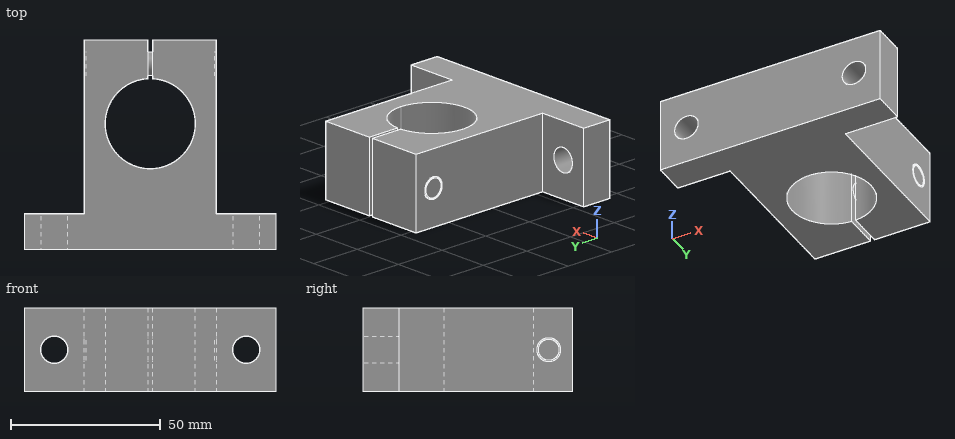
import cadquery as cq

base_length = 84.0
total_height = 70.0
depth = 28.0
base_thickness = 12.0
block_width = 44.0

bore_diameter = 30.0
bore_height = 42.0
slot_width = 1.5

mount_hole_diameter = 9.0
mount_hole_spacing = 64.0

screw_diameter = 8.0
screw_end_bevel = 0.5
screw_top_distance = 8.0
screw_height = total_height - screw_top_distance


def make_body():
    """Flange and clamp block, centred on X and Z, standing on Y = 0."""
    base = cq.Workplane("XY").box(base_length, base_thickness, depth, centered=(True, False, True))
    block = cq.Workplane("XY").box(block_width, total_height, depth, centered=(True, False, True))
    return base.union(block)


def make_bore():
    return (
        cq.Workplane("XY", origin=(0, bore_height, -depth / 2))
        .circle(bore_diameter / 2)
        .extrude(depth)
    )


def make_slot():
    """Gap from the bore to the top of the block."""
    return (
        cq.Workplane("XY")
        .box(slot_width, total_height - bore_height, depth, centered=(True, False, True))
        .translate((0, bore_height, 0))
    )


def make_mount_holes():
    half_spacing = mount_hole_spacing / 2
    return (
        cq.Workplane("XZ")
        .pushPoints([(-half_spacing, 0), (half_spacing, 0)])
        .circle(mount_hole_diameter / 2)
        .extrude(-base_thickness)
    )


def make_screw_hole():
    return (
        cq.Workplane("YZ", origin=(-block_width / 2, screw_height, 0))
        .circle(screw_diameter / 2)
        .extrude(block_width)
    )


def make_screw():
    """Clamp screw filling its hole, bevelled at both ends."""
    return make_screw_hole().faces("<X or >X").chamfer(screw_end_bevel)


body = make_body().cut(make_bore()).cut(make_slot()).cut(make_mount_holes())
result = body.cut(make_screw_hole()).union(make_screw())